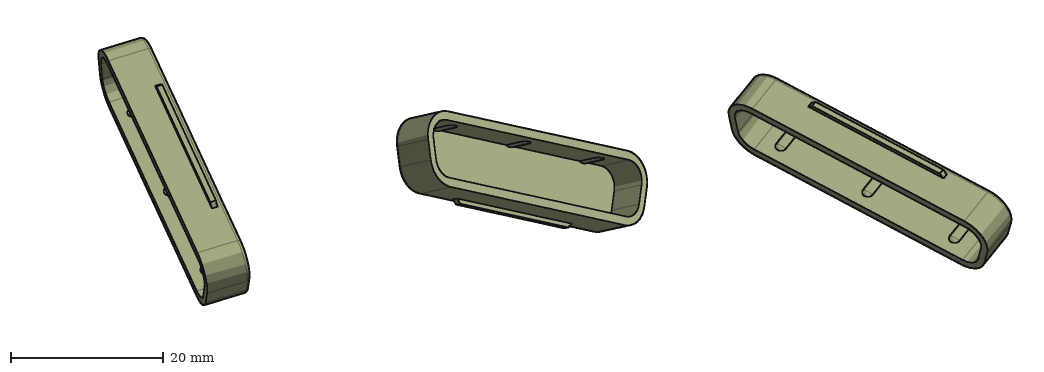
import cadquery as cq
import math

outer_width = 40.6
outer_height = 10.1
depth = 6.1
corner_radius = 3.7
side_angle = math.radians(10)
floor_thickness = 1.0
long_wall = 1.2
side_wall = 1.0
rim_fillet = 0.5

ridge_height = 0.6
ridge_tip_length = 20.0
ridge_base_length = ridge_tip_length + 2 * ridge_height
ridge_width = 0.8
ridge_setback = 1.0

bump_width = 1.5
bump_height = 0.2
bump_pitch = 13.6
bump_length = 3.5
bump_radius = (bump_width**2 / 4 + bump_height**2) / (2 * bump_height)
bump_half_angle = math.asin(bump_width / 2 / bump_radius)

cavity_depth = depth - floor_thickness
cavity_half_height = outer_height / 2 - long_wall


def d_prism(width, height, radius, length):
    """Rounded trapezoid, widest near its top, extruded from Y = 0 toward +Y."""
    half_height = height / 2
    arc_center_x = width / 2 - radius
    arc_center_z = half_height - radius
    side_x_at_center = arc_center_x + radius / math.cos(side_angle)
    top_x = side_x_at_center + radius * math.tan(side_angle)
    bottom_x = side_x_at_center - (arc_center_z + half_height) * math.tan(side_angle)
    corners = [
        (-top_x, half_height),
        (top_x, half_height),
        (bottom_x, -half_height),
        (-bottom_x, -half_height),
    ]
    prism = cq.Workplane("XZ").polyline(corners).close().extrude(-length)
    return prism.edges("|Y").fillet(radius)


def make_shell():
    """Cap with a rounded closed end and a flat-bottomed cavity open at Y = 0."""
    body = d_prism(outer_width, outer_height, corner_radius, depth)
    body = body.faces(">Y").edges().fillet(rim_fillet)
    cavity = d_prism(
        outer_width - 2 * side_wall,
        outer_height - 2 * long_wall,
        corner_radius - long_wall,
        cavity_depth,
    )
    return body.cut(cavity)


def make_ridges():
    """A ridge with sloped ends on the upper long wall, and its mirror image on the lower one."""
    base_z = outer_height / 2
    tip_z = base_z + ridge_height
    base_x = ridge_base_length / 2
    tip_x = ridge_tip_length / 2
    ridge_end = depth - ridge_setback
    upper = [(-base_x, base_z), (-tip_x, tip_z), (tip_x, tip_z), (base_x, base_z)]
    ridge = (
        cq.Workplane("XZ", origin=(0, ridge_end - ridge_width, 0))
        .polyline(upper)
        .close()
        .extrude(-ridge_width)
    )
    return ridge.union(ridge.mirror("XY"))


def make_bump(x):
    """Low round-backed bump on the lower long wall, running out from the floor to a domed end."""
    half_width = bump_width / 2
    bar_length = bump_length - half_width
    dome_center = (x, cavity_depth - bar_length, -cavity_half_height)
    section = cq.Workplane("XZ", origin=dome_center).moveTo(-half_width, 0)
    section = section.threePointArc((0, bump_height), (half_width, 0)).close()
    bar = section.extrude(-bar_length)
    mid_arc_x = bump_radius * math.sin(bump_half_angle / 2)
    mid_arc_z = bump_height - bump_radius * (1 - math.cos(bump_half_angle / 2))
    dome = (
        cq.Workplane("XZ", origin=dome_center)
        .moveTo(0, bump_height)
        .threePointArc((mid_arc_x, mid_arc_z), (half_width, 0))
        .lineTo(0, 0)
        .close()
        .revolve(360, (0, 0, 0), (0, 1, 0))
    )
    return bar.union(dome)


result = make_shell().union(make_ridges())
for bump_x in (-bump_pitch, 0, bump_pitch):
    bump = make_bump(bump_x)
    result = result.union(bump).union(bump.mirror("XY"))